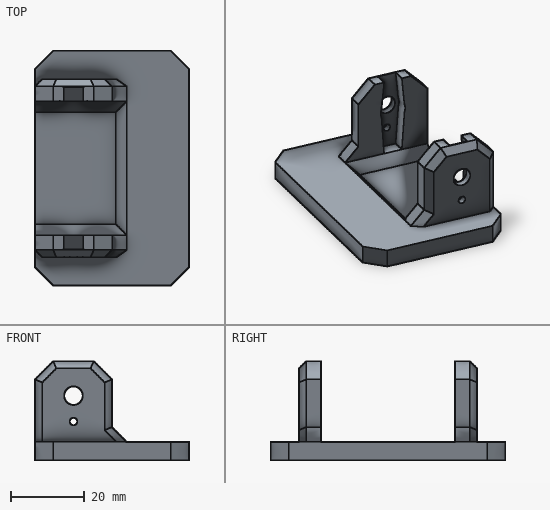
import cadquery as cq

plate_length = 42.0
plate_width = 64.0
plate_thickness = 5.0
corner_chamfer = 5.0

total_height = 27.0
lug_length = 21.0
lug_thickness = 6.0
lug_inner_y = 18.25
lug_top_chamfer = 5.0
lug_edge_chamfer = 2.0
gusset_size = 4.0

tray_depth = 3.0
tray_length = lug_length + gusset_size

hole_x = lug_length / 2
pivot_z = 17.6
pivot_diameter = 5.0
pin_z = 10.55
pin_diameter = 2.0
recess_depth = 3.8
recess_end_width = 5.4
recess_middle_width = 7.2
hub_diameter = 7.4


def make_plate():
    plate = cq.Workplane("XY").box(
        plate_length, plate_width, plate_thickness, centered=(False, True, False)
    )
    return plate.edges("|Z").chamfer(corner_chamfer)


def from_inner_face():
    """Workplane on the inner face of the -Y lug, extruding outward to -Y."""
    return cq.Workplane("XZ", origin=(0, -lug_inner_y, 0))


def make_lug():
    outline = [
        (0, 0),
        (tray_length + plate_thickness, 0),
        (lug_length, plate_thickness + gusset_size),
        (lug_length, total_height - lug_top_chamfer),
        (lug_length - lug_top_chamfer, total_height),
        (lug_top_chamfer, total_height),
        (0, total_height - lug_top_chamfer),
    ]
    lug = from_inner_face().polyline(outline).close().extrude(lug_thickness)
    return lug.faces("<Y").edges().chamfer(lug_edge_chamfer)


def make_lug_cuts():
    end_half = recess_end_width / 2
    middle_half = recess_middle_width / 2
    right_side = [
        (hole_x + end_half, plate_thickness),
        (hole_x + middle_half, pivot_z),
        (hole_x + end_half, total_height),
    ]
    left_side = [(2 * hole_x - x, z) for x, z in reversed(right_side)]
    arms = from_inner_face().polyline(right_side + left_side).close().extrude(recess_depth)
    hub = from_inner_face().center(hole_x, pivot_z).circle(hub_diameter / 2).extrude(recess_depth)
    pivot = from_inner_face().center(hole_x, pivot_z).circle(pivot_diameter / 2).extrude(lug_thickness)
    pin = from_inner_face().center(hole_x, pin_z).circle(pin_diameter / 2).extrude(lug_thickness)
    return arms.union(hub).union(pivot).union(pin)


def make_tray():
    floor_z = plate_thickness - tray_depth
    half_floor = lug_inner_y - tray_depth
    section = [
        (-lug_inner_y, plate_thickness),
        (-half_floor, floor_z),
        (half_floor, floor_z),
        (lug_inner_y, plate_thickness),
    ]
    tray = cq.Workplane("YZ").polyline(section).close().extrude(tray_length)
    slope = [
        (0, floor_z),
        (tray_length - tray_depth, floor_z),
        (tray_length, plate_thickness),
        (0, plate_thickness),
    ]
    envelope = cq.Workplane("XZ").polyline(slope).close().extrude(lug_inner_y, both=True)
    return tray.intersect(envelope)


lug = make_lug()
lug_cuts = make_lug_cuts()
result = make_plate().union(lug).union(lug.mirror("XZ"))
result = result.cut(lug_cuts).cut(lug_cuts.mirror("XZ")).cut(make_tray())